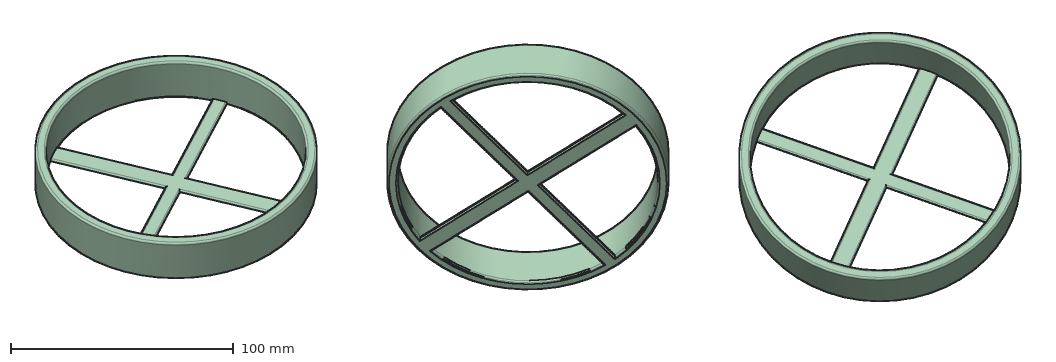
import cadquery as cq

outer_diameter = 126.5
wall_thickness = 5.0
ring_height = 22.0
top_rim_radius = 1.0

bottom_rim_height = 1.4
bottom_rim_inset = 1.0
bevel_height = 0.5
bevel_width = 0.55

spoke_height = 2.0
x_spoke_width = 9.0
y_spoke_width = 7.0
spoke_top_radius = 0.75
spoke_bottom_chamfer = 0.8

half_wall = wall_thickness / 2
middle_diameter = outer_diameter - wall_thickness
spoke_length = middle_diameter


def make_ring():
    """Revolve the wall section, which is symmetric about the middle of the wall."""
    middle_radius = middle_diameter / 2
    half_bottom_flat = half_wall - bottom_rim_inset
    half_section = (
        cq.Workplane("XZ", origin=(middle_radius, 0, 0))
        .moveTo(0, ring_height)
        .lineTo(half_wall - top_rim_radius, ring_height)
        .tangentArcPoint((half_wall, ring_height - top_rim_radius), relative=False)
        .lineTo(half_wall, bottom_rim_height)
        .tangentArcPoint((half_bottom_flat + bevel_width, bevel_height), relative=False)
        .lineTo(half_bottom_flat, 0)
        .lineTo(0, 0)
    )
    section = half_section.mirrorY()
    return section.revolve(360, (-middle_radius, 0, 0), (-middle_radius, 1, 0))


def make_spoke(length_x, length_y):
    """Straight bar centred on the ring axis."""
    return cq.Workplane("XY").rect(length_x, length_y).extrude(spoke_height)


def make_cross():
    """Two crossing spokes, rounded along the top edges and chamfered along the bottom ones."""
    cross = make_spoke(spoke_length, x_spoke_width).union(make_spoke(y_spoke_width, spoke_length))
    cross = cross.faces(">Z").edges().fillet(spoke_top_radius)
    return cross.faces("<Z").edges().chamfer(spoke_bottom_chamfer)


result = make_ring().union(make_cross())